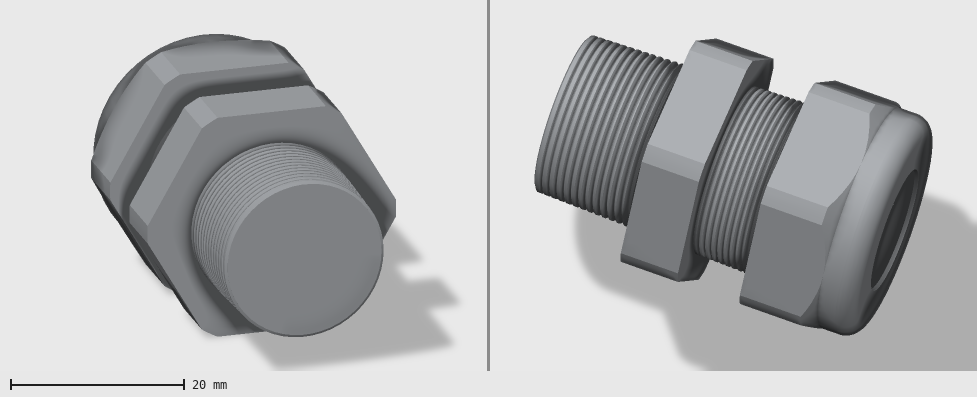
import cadquery as cq
import math


ACROSS_FLATS = 26.9
FLAT_RADIUS = ACROSS_FLATS / 2
CORNER_RADIUS = 29.9 / 2
ACROSS_CORNERS = ACROSS_FLATS / math.cos(math.radians(30))

FRONT_X = 0.0
CAP_HEX_X = 4.2
CAP_BACK_X = 13.25
HEX_FRONT_X = 20.9
HEX_BACK_X = 27.95
END_X = 40.9

DOME_ROUND = 2.05
BORE_RADIUS = 7.7
HEX_CHAMFER = CORNER_RADIUS - FLAT_RADIUS

RECESS_RADIUS = 7.4
RECESS_DEPTH = 0.5

CREST_TAPER = 1 / 32
RIDGE_ANGLE = 60
FLANK_SLOPE = math.tan(math.radians(RIDGE_ANGLE / 2))

CAP_THREAD_ROOT = 9.9
CAP_THREAD_APEX = 10.5
CAP_THREAD_FIRST_CREST = 10.45
CAP_THREAD_FIRST_X = 13.2
CAP_THREAD_LAST_X = 20.7
CAP_THREAD_COUNT = 11
CAP_THREAD_PITCH = (CAP_THREAD_LAST_X - CAP_THREAD_FIRST_X) / (CAP_THREAD_COUNT - 1)

END_THREAD_ROOT = 9.25
END_THREAD_APEX = 9.98
END_THREAD_FIRST_CREST = 9.95
END_THREAD_FIRST_X = 28.85
END_THREAD_LAST_X = 40.45
END_THREAD_COUNT = 14
END_THREAD_PITCH = (END_THREAD_LAST_X - END_THREAD_FIRST_X) / (END_THREAD_COUNT - 1)
NECK_RADIUS = 9.08


def cylinder(radius, start_x, end_x):
    """Solid cylinder on the X axis."""
    return cq.Workplane("YZ", origin=(start_x, 0, 0)).circle(radius).extrude(end_x - start_x)


def hexagon(start_x, end_x):
    """Hexagonal prism with flats facing +Z and -Z and corners rounded to a cylinder."""
    prism = (
        cq.Workplane("YZ", origin=(start_x, 0, 0))
        .polygon(6, ACROSS_CORNERS)
        .extrude(end_x - start_x)
    )
    return prism.intersect(cylinder(CORNER_RADIUS, start_x, end_x))


def revolve_outline(points):
    """Turn a closed (x, radius) outline around the X axis."""
    return cq.Workplane("XY").polyline(points).close().revolve(360, (0, 0, 0), (1, 0, 0))


def ridge_points(first_x, pitch, count, root, apex, first_crest):
    """Outline points of a row of thread ridges, each with a flat crest lower than the last."""
    half_base = (apex - root) * FLANK_SLOPE
    points = []
    for index in range(count):
        x = first_x + index * pitch
        crest = first_crest - index * pitch * CREST_TAPER
        half_crest = (apex - crest) * FLANK_SLOPE
        points += [
            (x - half_base, root),
            (x - half_crest, crest),
            (x + half_crest, crest),
            (x + half_base, root),
        ]
    return points


def make_cap():
    """Cap nut: rounded front rim, chamfered hexagon and a through bore."""
    dome = cylinder(FLAT_RADIUS, FRONT_X, CAP_HEX_X).faces("<X").edges().fillet(DOME_ROUND)
    chamfer_envelope = revolve_outline([
        (CAP_HEX_X, 0),
        (CAP_HEX_X, FLAT_RADIUS),
        (CAP_HEX_X + HEX_CHAMFER, CORNER_RADIUS),
        (CAP_BACK_X, CORNER_RADIUS),
        (CAP_BACK_X, 0),
    ])
    grip = hexagon(CAP_HEX_X, CAP_BACK_X).intersect(chamfer_envelope)
    return dome.union(grip).cut(cylinder(BORE_RADIUS, FRONT_X, CAP_BACK_X))


def make_cap_thread():
    """Thread between the cap and the body hexagon, ending flush against both."""
    ridges = ridge_points(
        CAP_THREAD_FIRST_X, CAP_THREAD_PITCH, CAP_THREAD_COUNT,
        CAP_THREAD_ROOT, CAP_THREAD_APEX, CAP_THREAD_FIRST_CREST,
    )
    first_x = ridges[0][0]
    last_x = ridges[-1][0]
    thread = revolve_outline([(first_x, 0), *ridges, (last_x, 0)])
    return thread.intersect(cylinder(CAP_THREAD_APEX, CAP_BACK_X, HEX_FRONT_X))


def make_end_thread():
    """Connection thread with a neck that curves from the hexagon up to the first crest."""
    ridges = ridge_points(
        END_THREAD_FIRST_X, END_THREAD_PITCH, END_THREAD_COUNT,
        END_THREAD_ROOT, END_THREAD_APEX, END_THREAD_FIRST_CREST,
    )
    crest_x, crest_radius = ridges[1]
    run = crest_x - HEX_BACK_X
    rise = crest_radius - NECK_RADIUS
    neck_curve_radius = (run**2 + rise**2) / (2 * rise)
    return (
        cq.Workplane("XY")
        .moveTo(HEX_BACK_X, 0)
        .lineTo(HEX_BACK_X, NECK_RADIUS)
        .radiusArc((crest_x, crest_radius), -neck_curve_radius)
        .polyline(ridges[2:], includeCurrent=True)
        .lineTo(END_X, END_THREAD_ROOT)
        .lineTo(END_X, 0)
        .close()
        .revolve(360, (0, 0, 0), (1, 0, 0))
    )


def make_body():
    """Gland body: core filling the cap bore, two threads and a hexagon between them."""
    core = cylinder(BORE_RADIUS, FRONT_X, CAP_BACK_X)
    recess = cylinder(RECESS_RADIUS, FRONT_X, FRONT_X + RECESS_DEPTH)
    return (
        core.cut(recess)
        .union(make_cap_thread())
        .union(hexagon(HEX_FRONT_X, HEX_BACK_X))
        .union(make_end_thread())
    )


cap = make_cap()
body = make_body()

result = cq.Compound.makeCompound([cap.solids().val(), body.solids().val()])